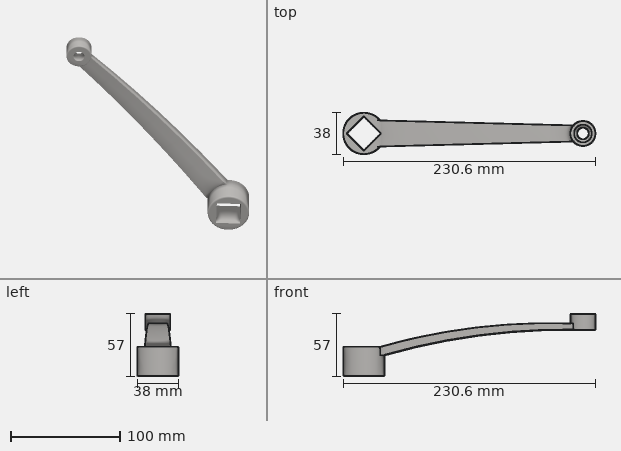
import cadquery as cq

hub_diameter = 38.0
hub_height = 27.0
socket_side = 22.0
socket_turn = 45.0
hub_rounding = 1.5

boss_diameter = 23.0
boss_height = 15.0
boss_top = 57.0
boss_rounding = 1.1
hole_diameter = 10.4
countersink_diameter = 16.2
countersink_angle = 90.0

center_distance = 200.09
boss_bottom = boss_top - boss_height
arm_top_bend_x = socket_side / 2**0.5
arm_bottom_bend_x = hub_diameter / 2
arm_start_bottom = 19.0
arm_end_top = 47.7
arm_middle_x = 77.5
arm_middle_top = 40.95
arm_middle_bottom = 32.6
arm_width_at_hub = 24.8
arm_width_at_boss = 14.5
arm_rounding = 0.6


def make_hub():
    """Upright cylinder on the origin with rounded rims."""
    hub = cq.Workplane("XY").circle(hub_diameter / 2).extrude(hub_height)
    return hub.edges().fillet(hub_rounding)


def make_boss():
    """Upright cylinder at the far end of the arm with rounded rims."""
    boss = cq.Workplane("XY", origin=(center_distance, 0, boss_bottom))
    boss = boss.circle(boss_diameter / 2).extrude(boss_height)
    return boss.edges().fillet(boss_rounding)


def make_arm():
    """Bowed bar, narrowing towards the boss, with its long lower edges rounded."""
    profile = (
        cq.Workplane("XZ")
        .moveTo(0, hub_height)
        .lineTo(arm_top_bend_x, hub_height)
        .threePointArc((arm_middle_x, arm_middle_top), (center_distance, arm_end_top))
        .lineTo(center_distance, boss_bottom)
        .threePointArc((arm_middle_x, arm_middle_bottom), (arm_bottom_bend_x, arm_start_bottom))
        .lineTo(0, arm_start_bottom)
        .close()
        .extrude(arm_width_at_hub / 2, both=True)
    )
    plan = (
        cq.Workplane("XY")
        .moveTo(0, -arm_width_at_hub / 2)
        .lineTo(center_distance, -arm_width_at_boss / 2)
        .lineTo(center_distance, arm_width_at_boss / 2)
        .lineTo(0, arm_width_at_hub / 2)
        .close()
        .extrude(boss_top)
    )
    arm = profile.intersect(plan)
    flat_underside = arm.faces("<Z")
    bowed_underside = arm.faces("%CYLINDER").faces("<Z")
    long_edges = flat_underside.edges("not |Y").add(bowed_underside.edges("not |Y"))
    return arm.newObject(long_edges.vals()).fillet(arm_rounding)


def cut_socket(body):
    """Square through socket with its corners on the X and Y axes."""
    socket = cq.Workplane("XY").rect(socket_side, socket_side).extrude(boss_top)
    return body.cut(socket.rotate((0, 0, 0), (0, 0, 1), socket_turn))


def cut_hole(body):
    """Countersunk through hole down the boss axis."""
    top = cq.Workplane("XY", origin=(center_distance, 0, boss_top))
    return body.copyWorkplane(top).cskHole(hole_diameter, countersink_diameter, countersink_angle)


result = make_hub().union(make_boss()).union(make_arm())
result = cut_socket(result)
result = cut_hole(result)